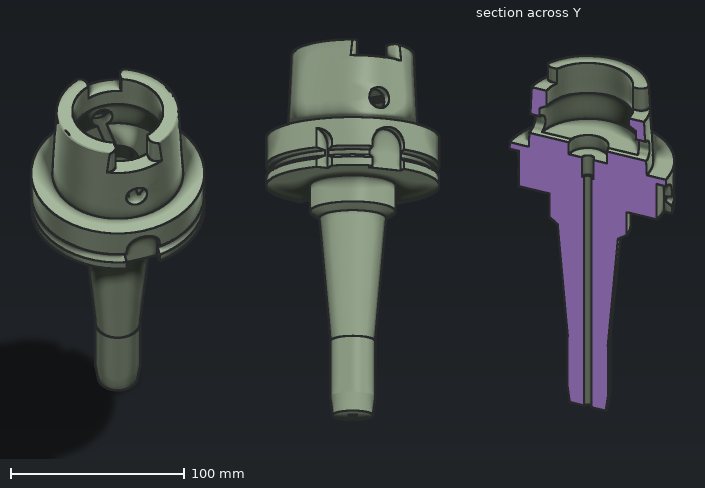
import cadquery as cq
import math

total_height = 215.0
flange_top = 165.0
flange_bottom = 136.5
groove_top = 148.1
groove_floor_top = 146.8
groove_floor_bottom = 143.8
groove_bottom = 141.5
collar_bottom = 121.0
neck_top = 117.2
neck_bottom = 44.0
nose_chamfer_top = 10.8

flange_diameter = 100.0
flange_radius = flange_diameter / 2
groove_radius = 46.0
shank_base_radius = 37.8
shank_taper = 1 / 20
shank_edge_fillet = 1.3
collar_radius = 24.7
neck_top_radius = 19.4
neck_bottom_radius = 13.0
nose_radius = 13.1
nose_end_radius = 11.6

mouth_radius = 26.2
mouth_depth = 20.2
clamp_radius = 30.5
clamp_angle = 60.0
cavity_depth = 40.0
pocket_radius = 12.0
pocket_depth = 8.5
coolant_entry_radius = 3.7
coolant_entry_depth = 13.0
coolant_radius = 2.4

drive_slot_width = 20.0
drive_slot_flat = 32.0
drive_slot_fillet = 5.0
left_slot_depth = 9.7
right_slot_depth = 14.8

cross_hole_radius = 6.2
cross_hole_depth = 34.5
keyway_width = 20.0
keyway_top = 160.2
keyway_floor = 44.0
notch_offset = 41.0
notch_floor = 32.5


def make_body():
    """Revolve the shank, grooved flange, collar, neck and nose."""
    shank_height = total_height - flange_top
    shank_top_radius = shank_base_radius - shank_height * shank_taper
    profile = [
        (0, 0),
        (nose_end_radius, 0),
        (nose_radius, nose_chamfer_top),
        (nose_radius, neck_bottom),
        (neck_bottom_radius, neck_bottom),
        (neck_top_radius, neck_top),
        (collar_radius, collar_bottom),
        (collar_radius, flange_bottom),
        (flange_radius, flange_bottom),
        (flange_radius, groove_bottom),
        (groove_radius, groove_floor_bottom),
        (groove_radius, groove_floor_top),
        (flange_radius, groove_top),
        (flange_radius, flange_top),
        (shank_base_radius, flange_top),
        (shank_top_radius, total_height),
        (0, total_height),
    ]
    body = cq.Workplane("XZ").polyline(profile).close().revolve(360, (0, 0), (0, 1))
    return body.faces(">Z").edges().fillet(shank_edge_fillet)


def make_cavity():
    """Revolve the mouth, clamping cone, pocket and through coolant bore."""
    mouth_bottom = total_height - mouth_depth
    cone_height = (clamp_radius - mouth_radius) / math.tan(math.radians(clamp_angle))
    cavity_floor = total_height - cavity_depth
    pocket_floor = cavity_floor - pocket_depth
    entry_floor = pocket_floor - coolant_entry_depth
    profile = [
        (0, 0),
        (coolant_radius, 0),
        (coolant_radius, entry_floor),
        (coolant_entry_radius, entry_floor),
        (coolant_entry_radius, pocket_floor),
        (pocket_radius, pocket_floor),
        (pocket_radius, cavity_floor),
        (clamp_radius, cavity_floor),
        (clamp_radius, mouth_bottom - cone_height),
        (mouth_radius, mouth_bottom),
        (mouth_radius, total_height),
        (0, total_height),
    ]
    return cq.Workplane("XZ").polyline(profile).close().revolve(360, (0, 0), (0, 1))


def make_drive_slot(side, depth):
    """Slot on one side of the rim (-1 or 1), flaring round onto the flats."""
    half_width = drive_slot_width / 2
    fillet = drive_slot_fillet
    flat = side * drive_slot_flat
    arc_start = side * (drive_slot_flat - fillet)
    arc_mid = side * (drive_slot_flat - fillet * (1 - math.sqrt(0.5)))
    arc_drop = fillet * (1 - math.sqrt(0.5))
    outside = side * flange_radius
    return (
        cq.Workplane("XY", origin=(0, 0, total_height - depth))
        .moveTo(0, -half_width)
        .lineTo(arc_start, -half_width)
        .threePointArc((arc_mid, -half_width - arc_drop), (flat, -half_width - fillet))
        .lineTo(flat, -flange_radius)
        .lineTo(outside, -flange_radius)
        .lineTo(outside, flange_radius)
        .lineTo(flat, flange_radius)
        .lineTo(flat, half_width + fillet)
        .threePointArc((arc_mid, half_width + arc_drop), (arc_start, half_width))
        .lineTo(0, half_width)
        .close()
        .extrude(depth)
    )


def make_keyway(side, offset, floor):
    """Round-topped keyway open at the flange underside and outer face."""
    half_width = keyway_width / 2
    spring_height = keyway_top - half_width
    return (
        cq.Workplane("YZ", origin=(side * floor, 0, 0))
        .moveTo(offset - half_width, flange_bottom)
        .lineTo(offset - half_width, spring_height)
        .threePointArc((offset, keyway_top), (offset + half_width, spring_height))
        .lineTo(offset + half_width, flange_bottom)
        .close()
        .extrude(side * flange_radius)
    )


def make_cross_hole():
    """Hole through both walls of the shank along X."""
    return (
        cq.Workplane("YZ", origin=(0, 0, total_height - cross_hole_depth))
        .circle(cross_hole_radius)
        .extrude(flange_radius, both=True)
    )


result = make_body().cut(make_cavity()).cut(make_cross_hole())
for side, slot_depth in ((-1, left_slot_depth), (1, right_slot_depth)):
    result = result.cut(make_drive_slot(side, slot_depth))
    result = result.cut(make_keyway(side, 0, keyway_floor))
result = result.cut(make_keyway(-1, notch_offset, notch_floor))